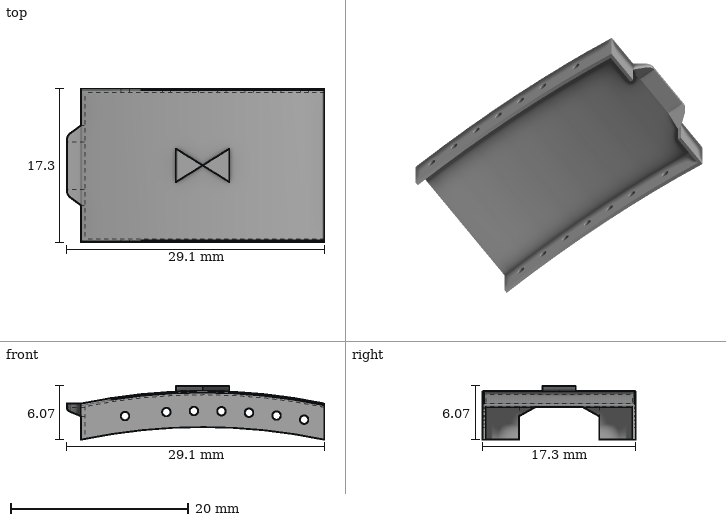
import cadquery as cq
import math

LENGTH = 27.45
WIDTH = 17.3
END_HEIGHT = 4.1
ARCH_RISE = 1.42
WALL = 0.4
EDGE_RADIUS = 0.2

OPENING_WIDTH = 9.03
OPENING_ROOF_WIDTH = 5.35
OPENING_SIDE_HEIGHT = 2.65

TAB_LENGTH = 29.05 - LENGTH
TAB_TIP_WIDTH = 6.68
TAB_CORNER_RADIUS = 1.0

HOLE_DIAMETER = 0.93
HOLE_PITCH = 3.1
HOLE_COUNT = 6
HOLE_ROW_START = -4.1
END_HOLE_GAP = 1.5 * HOLE_PITCH
HOLE_DEPTH_BELOW_TOP = 2.27

STUD_LENGTH = 3.02
STUD_WIDTH = 3.78
STUD_TOP = 6.07
STUD_EDGE_RADIUS = 0.1

HALF_LENGTH = LENGTH / 2
ARCH_TOP = END_HEIGHT + ARCH_RISE
ARCH_RADIUS = (HALF_LENGTH**2 + ARCH_RISE**2) / (2 * ARCH_RISE)


def arch_height(x, crown):
    """Height at x of an arc of the arch radius whose crown is at the given height."""
    return crown - ARCH_RADIUS + math.sqrt(ARCH_RADIUS**2 - x**2)


def arched_block(start_x, end_x, width, bottom_crown, top_crown):
    """Block with upright ends between two equal arches, which both peak at X = 0."""
    return (
        cq.Workplane("XZ")
        .moveTo(start_x, arch_height(start_x, bottom_crown))
        .threePointArc((0, bottom_crown), (end_x, arch_height(end_x, bottom_crown)))
        .lineTo(end_x, arch_height(end_x, top_crown))
        .threePointArc((0, top_crown), (start_x, arch_height(start_x, top_crown)))
        .close()
        .extrude(width / 2, both=True)
    )


def make_blank():
    """Solid arched block with the outer size of the link body."""
    return arched_block(-HALF_LENGTH, HALF_LENGTH, WIDTH, ARCH_RISE, ARCH_TOP)


def make_shell():
    """Arched shell, open below and at +X, with rounded upper edges on all sides but the tab side."""
    rounded = make_blank().faces(">Z").edges("not <X").fillet(EDGE_RADIUS)
    cavity = arched_block(-HALF_LENGTH + WALL, HALF_LENGTH, WIDTH - 2 * WALL, 0, ARCH_TOP - WALL)
    return rounded.cut(cavity)


def make_tab():
    """Tapered tab with rounded corners, rooted in the end wall."""
    root_x = -HALF_LENGTH
    tip_x = root_x - TAB_LENGTH
    inner_x = root_x + WALL
    base_half = OPENING_WIDTH / 2
    tip_half = TAB_TIP_WIDTH / 2
    outline = [
        (inner_x, -base_half),
        (root_x, -base_half),
        (tip_x, -tip_half),
        (tip_x, tip_half),
        (root_x, base_half),
        (inner_x, base_half),
    ]
    return (
        cq.Workplane("XY")
        .workplane(offset=OPENING_SIDE_HEIGHT)
        .polyline(outline)
        .close()
        .extrude(END_HEIGHT - OPENING_SIDE_HEIGHT)
        .edges("|Z and <X")
        .fillet(TAB_CORNER_RADIUS)
    )


def make_opening():
    """Cutter through the end wall and the tab, with sloping upper corners."""
    side = OPENING_WIDTH / 2
    roof_side = OPENING_ROOF_WIDTH / 2
    roof_height = END_HEIGHT - WALL
    return (
        cq.Workplane("YZ")
        .moveTo(-side, 0)
        .lineTo(-side, OPENING_SIDE_HEIGHT)
        .lineTo(-roof_side, roof_height)
        .lineTo(roof_side, roof_height)
        .lineTo(side, OPENING_SIDE_HEIGHT)
        .lineTo(side, 0)
        .close()
        .extrude(-HALF_LENGTH - TAB_LENGTH)
    )


def make_cross_holes():
    """Cutters for the row of holes through both side walls."""
    hole_xs = [HOLE_ROW_START - END_HOLE_GAP]
    hole_xs += [HOLE_ROW_START + i * HOLE_PITCH for i in range(HOLE_COUNT)]
    centres = [(x, arch_height(x, ARCH_TOP - HOLE_DEPTH_BELOW_TOP)) for x in hole_xs]
    return cq.Workplane("XZ").pushPoints(centres).circle(HOLE_DIAMETER / 2).extrude(WIDTH / 2, both=True)


def make_link():
    """Arched shell with its tab, end opening and cross holes."""
    return make_shell().union(make_tab()).cut(make_opening()).cut(make_cross_holes())


def make_stud(side):
    """Triangular stud on the arch, pointing at the middle; side is -1 or 1 along X."""
    outer_x = side * STUD_LENGTH
    return (
        cq.Workplane("XY")
        .workplane(offset=END_HEIGHT)
        .polyline([(0, 0), (outer_x, -STUD_WIDTH / 2), (outer_x, STUD_WIDTH / 2)])
        .close()
        .extrude(STUD_TOP - END_HEIGHT)
        .faces(">Z")
        .edges("|Y")
        .fillet(STUD_EDGE_RADIUS)
        .cut(make_blank())
    )


link = make_link()
studs = [make_stud(side) for side in (-1, 1)]

result = cq.Compound.makeCompound([link.val(), *[stud.val() for stud in studs]])